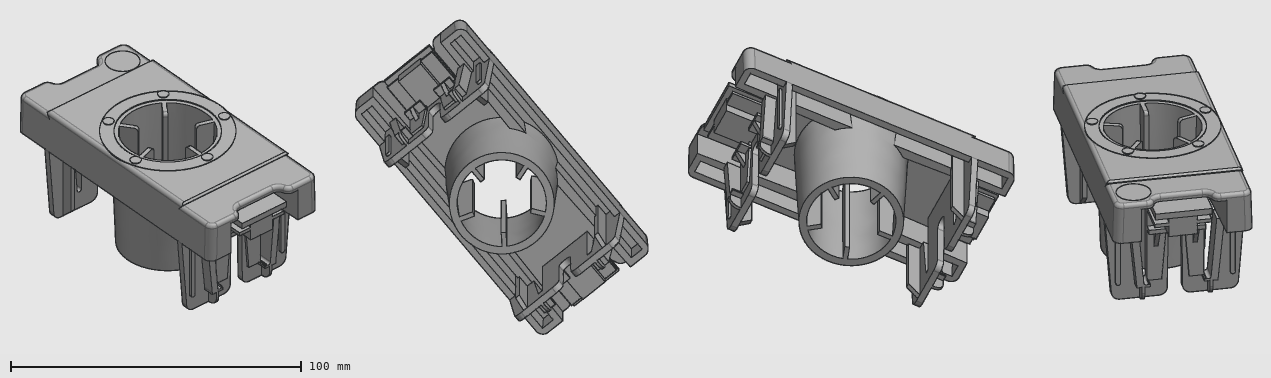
import cadquery as cq


LENGTH = 103.0
WIDTH = 49.0
SIDE_DRAFT = 0.03
END_TOP = 14.9
CORNER_RADIUS = 3.0
END_EDGE_RADIUS = 1.4
WALL = 2.4
CEILING = END_TOP - WALL

PANEL_TOP = 16.3
PANEL_EDGE_RADIUS = 1.5
PANEL_ROOT_Z = END_TOP - END_EDGE_RADIUS
PANEL_ROOT_X = 34.4
PANEL_LIP_X = 36.0
PANEL_LIP_CHAMFER = 0.7

NOTCH_DEPTH = 4.2
NOTCH_FLOOR_HALF = 7.4
NOTCH_MOUTH_HALF = 13.0
CHANNEL_MOUTH_HALF = 15.0
CHANNEL_WAIST_HALF = 13.8

RING_DIAMETER = 47.0
RING_INNER_DIAMETER = 37.0
RING_TOP = 16.5
RIM_Z = 16.1
BADGE_DIAMETER = 12.0
BADGE_X = -43.0
BADGE_Y = 16.0
BADGE_DEPTH = 0.1

LEG_BOTTOM = -30.0
TUBE_OUTER_BASE = 19.2
TUBE_OUTER_TIP = 18.0
TUBE_INNER_RIM = 17.0
TUBE_INNER_TIP = 15.3
SPOKE_COUNT = 5
FIN_THICKNESS = 1.6
FIN_INNER_RADIUS = 10.4
FIN_ROUND = 1.3
PIN_CIRCLE_RADIUS = 21.0
PIN_DIAMETER = 4.0
PIN_ROOT_DIAMETER = 3.2
PIN_TOP = 17.0

PLATE_OUTER_X = -36.6
PLATE_INNER_X = PLATE_OUTER_X + WALL
LEG_TIP_HALF = 22.1
LEG_TIP_RADIUS = 3.0
SLOT_TOP_HALF = 2.5
SLOT_LOW_HALF = 2.7
SLOT_TOP = -5.0
RELIEF = 0.9
RIB_Y = 20.2
RIB_WIDTH = 1.8
FRAME_OUTER_X = -40.7
FRAME_BOTTOM = -24.0
WINDOW_BOTTOM = -23.2
FRAME_OUTER_TOP_Y = 16.6
FRAME_OUTER_LOW_Y = 14.3
WINDOW_TOP_Y = 13.8
WINDOW_LOW_Y = 11.8
FRAME_FOOT_Y = 9.5
TOE_Y = 11.9
TOE_THICKNESS = 1.0
TOE_RADIUS = 3.6
STIFFENER_X = -29.9
STIFFENER_Y = 17.5
STIFFENER_THICKNESS = 1.6

TONGUE_HALF = 10.0
TONGUE_TOP = 10.1
PAD_TOP_Y = 3.0
PAD_LOW_Y = 4.8
SLAB_BOTTOM = 7.8
BOX_OUTER_X = -50.1
BOX_HALF = 4.9
BAR_TOP = 5.4
BAR_BOTTOM = 4.0
SHELF_TOP = -2.0
SHELF_BOTTOM = -3.6
GUSSET_BOTTOM = -10.1
GUSSET_Y = 6.9
GUSSET_WIDTH = 1.5


def block(x_range, y_range, z_range):
    """Box given by its limits along the three axes."""
    spans = [high - low for low, high in (x_range, y_range, z_range)]
    corner = (x_range[0], y_range[0], z_range[0])
    return cq.Workplane("XY").box(*spans, centered=False).translate(corner)


def prism_x(points, x_start, x_end):
    """Polygon of (y, z) points extruded along X."""
    return cq.Workplane("YZ").workplane(offset=x_start).polyline(points).close().extrude(x_end - x_start)


def prism_y(points, y_middle, width):
    """Polygon of (x, z) points extruded along Y about y_middle."""
    flat = cq.Workplane("XZ").workplane(offset=-y_middle)
    return flat.polyline(points).close().extrude(width / 2, both=True)


def both_sides(half):
    """The shape together with its mirror image across the XZ plane."""
    return half.union(half.mirror("XZ"))


def drafted_bar(top, inset=0.0):
    """Lengthwise bar whose long sides lean inward, shrunk all round by inset."""
    base = WIDTH / 2 - inset
    crest = base - SIDE_DRAFT * top
    half_length = LENGTH / 2 - inset
    return prism_x([(-base, 0), (base, 0), (crest, top), (-crest, top)], -half_length, half_length)


def end_notch():
    """Cutter for the -X end: a recess whose sides are S-curves of two equal arcs."""
    mouth_x = -LENGTH / 2
    floor_x = mouth_x + NOTCH_DEPTH
    rise = NOTCH_MOUTH_HALF - NOTCH_FLOOR_HALF
    radius = (NOTCH_DEPTH**2 + rise**2) / (4 * NOTCH_DEPTH)
    middle = ((mouth_x + floor_x) / 2, (NOTCH_MOUTH_HALF + NOTCH_FLOOR_HALF) / 2)
    return (
        cq.Workplane("XY")
        .moveTo(mouth_x, NOTCH_MOUTH_HALF)
        .radiusArc(middle, -radius)
        .radiusArc((floor_x, NOTCH_FLOOR_HALF), radius)
        .lineTo(floor_x, -NOTCH_FLOOR_HALF)
        .radiusArc((middle[0], -middle[1]), radius)
        .radiusArc((mouth_x, -NOTCH_MOUTH_HALF), -radius)
        .close()
        .extrude(END_TOP)
    )


def outer_housing():
    """Solid housing with notched ends and the raised middle panel."""
    notch = end_notch()
    base = drafted_bar(END_TOP).edges("not(|X or |Y)").fillet(CORNER_RADIUS)
    base = base.cut(notch).cut(notch.mirror("YZ"))
    base = base.faces(">Z").edges().fillet(END_EDGE_RADIUS)

    lip_z = PANEL_TOP - PANEL_LIP_CHAMFER
    top_x = PANEL_LIP_X - PANEL_LIP_CHAMFER
    right_side = [(PANEL_ROOT_X, PANEL_ROOT_Z), (PANEL_LIP_X, lip_z), (top_x, PANEL_TOP)]
    left_side = [(-x, z) for x, z in reversed(right_side)]
    panel_limits = prism_y(right_side + left_side, 0, WIDTH)
    panel = drafted_bar(PANEL_TOP).faces(">Z").edges("|X").fillet(PANEL_EDGE_RADIUS)
    return base.union(panel.intersect(panel_limits))


def channel():
    """Lengthwise channel under the top, tapering from both ends toward the tube."""
    outline = [
        (-LENGTH / 2, -CHANNEL_MOUTH_HALF),
        (0, -CHANNEL_WAIST_HALF),
        (LENGTH / 2, -CHANNEL_MOUTH_HALF),
        (LENGTH / 2, CHANNEL_MOUTH_HALF),
        (0, CHANNEL_WAIST_HALF),
        (-LENGTH / 2, CHANNEL_MOUTH_HALF),
    ]
    return cq.Workplane("XY").polyline(outline).close().extrude(CEILING)


def cavity():
    """Hollow below the top: the inside of the walls minus the partitions that carry the legs."""
    channel_wall = (CHANNEL_WAIST_HALF, CHANNEL_MOUTH_HALF + WALL)
    lengthwise = block((-LENGTH / 2, LENGTH / 2), channel_wall, (0, CEILING))
    crosswise = block((PLATE_OUTER_X, PLATE_INNER_X), (CHANNEL_WAIST_HALF, WIDTH / 2), (0, CEILING))
    partitions = both_sides(lengthwise.union(crosswise).union(crosswise.mirror("YZ")))
    hollow = drafted_bar(CEILING, WALL).cut(partitions)
    return hollow.union(channel())


def tube():
    """Outside of the tapered tube, reaching up to the ceiling."""
    outer_slope = (TUBE_OUTER_BASE - TUBE_OUTER_TIP) / -LEG_BOTTOM
    outer_ceiling = TUBE_OUTER_BASE + outer_slope * CEILING
    outline = [(0, LEG_BOTTOM), (TUBE_OUTER_TIP, LEG_BOTTOM), (outer_ceiling, CEILING), (0, CEILING)]
    return cq.Workplane("XZ").polyline(outline).close().revolve(360, (0, 0), (0, 1))


def tube_bore():
    """Tapered bore with the shallow recess that leaves the tube rim below the ring."""
    bore = [(0, LEG_BOTTOM), (TUBE_INNER_TIP, LEG_BOTTOM), (TUBE_INNER_RIM, RIM_Z), (0, RIM_Z)]
    cutter = cq.Workplane("XZ").polyline(bore).close().revolve(360, (0, 0), (0, 1))
    recess = cq.Workplane("XY").workplane(offset=RIM_Z).circle(RING_INNER_DIAMETER / 2)
    return cutter.union(recess.extrude(RING_TOP - RIM_Z))


def fin():
    """Fin on the +X side of the bore, rounded at its upper inner corner."""
    wall_tip = (TUBE_INNER_TIP + TUBE_OUTER_TIP) / 2
    wall_rim = (TUBE_INNER_RIM + RING_INNER_DIAMETER / 2) / 2
    return (
        cq.Workplane("XZ")
        .moveTo(FIN_INNER_RADIUS, LEG_BOTTOM)
        .lineTo(wall_tip, LEG_BOTTOM)
        .lineTo(wall_rim, RIM_Z)
        .lineTo(FIN_INNER_RADIUS + FIN_ROUND, RIM_Z)
        .radiusArc((FIN_INNER_RADIUS, RIM_Z - FIN_ROUND), -FIN_ROUND)
        .close()
        .extrude(FIN_THICKNESS / 2, both=True)
    )


def pin():
    """Pin on the +X side of the ring, widening toward its top."""
    outline = [
        (0, PANEL_TOP),
        (PIN_ROOT_DIAMETER / 2, PANEL_TOP),
        (PIN_DIAMETER / 2, PIN_TOP),
        (0, PIN_TOP),
    ]
    cone = cq.Workplane("XZ").polyline(outline).close().revolve(360, (0, 0), (0, 1))
    return cone.translate((PIN_CIRCLE_RADIUS, 0, 0))


def leg_window():
    """Opening between tongue and leg: slanted outside, upright beside the tongue, round below."""
    round_radius = (WINDOW_LOW_Y - TONGUE_HALF) / 2
    round_z = WINDOW_BOTTOM + round_radius
    return (
        cq.Workplane("YZ")
        .workplane(offset=FRAME_OUTER_X)
        .moveTo(TONGUE_HALF, 0)
        .lineTo(WINDOW_TOP_Y, 0)
        .lineTo(WINDOW_LOW_Y, round_z)
        .threePointArc((TONGUE_HALF + round_radius, WINDOW_BOTTOM), (TONGUE_HALF, round_z))
        .close()
        .extrude(PLATE_INNER_X - FRAME_OUTER_X)
    )


def centre_slot():
    """Round-topped slot between the two halves of a leg plate, flared at the tip."""
    arch_z = SLOT_TOP - SLOT_TOP_HALF
    flare_half = SLOT_LOW_HALF + LEG_TIP_RADIUS
    flare_z = LEG_BOTTOM + LEG_TIP_RADIUS
    return (
        cq.Workplane("YZ")
        .workplane(offset=PLATE_OUTER_X)
        .moveTo(-flare_half, LEG_BOTTOM)
        .radiusArc((-SLOT_LOW_HALF, flare_z), -LEG_TIP_RADIUS)
        .lineTo(-SLOT_TOP_HALF, arch_z)
        .threePointArc((0, SLOT_TOP), (SLOT_TOP_HALF, arch_z))
        .lineTo(SLOT_LOW_HALF, flare_z)
        .radiusArc((flare_half, LEG_BOTTOM), -LEG_TIP_RADIUS)
        .close()
        .extrude(WALL)
    )


def leg_plate():
    """Slanted plate with rounded lower corners."""
    base = WIDTH / 2
    profile = [(-base, 0), (base, 0), (LEG_TIP_HALF, LEG_BOTTOM), (-LEG_TIP_HALF, LEG_BOTTOM)]
    plate = prism_x(profile, PLATE_OUTER_X, PLATE_INNER_X)
    return plate.faces("<Z").edges("|X").fillet(LEG_TIP_RADIUS).cut(centre_slot())


def leg_frame():
    """Block beside the window on the +Y half, standing on a foot that spans below the window."""
    outline = [
        (TONGUE_HALF, 0),
        (TONGUE_HALF, WINDOW_BOTTOM),
        (FRAME_FOOT_Y, WINDOW_BOTTOM),
        (FRAME_FOOT_Y, FRAME_BOTTOM),
        (FRAME_OUTER_LOW_Y, FRAME_BOTTOM),
        (FRAME_OUTER_LOW_Y, WINDOW_BOTTOM),
        (FRAME_OUTER_TOP_Y, 0),
    ]
    return prism_x(outline, FRAME_OUTER_X, PLATE_OUTER_X).cut(leg_window())


def leg_toe():
    """Thin rib under the frame on the +Y half, rounded at its outer lower corner."""
    toe = block(
        (FRAME_OUTER_X, PLATE_OUTER_X),
        (TOE_Y - TOE_THICKNESS / 2, TOE_Y + TOE_THICKNESS / 2),
        (LEG_BOTTOM, FRAME_BOTTOM),
    )
    return toe.edges("<X and <Z").fillet(TOE_RADIUS)


def leg_rib():
    """Low upright rib with a round lower end on the +Y half of the outer face."""
    end_radius = RIB_WIDTH / 2
    low_z = FRAME_BOTTOM + end_radius
    return (
        cq.Workplane("YZ")
        .workplane(offset=PLATE_OUTER_X - RELIEF)
        .moveTo(RIB_Y - end_radius, 0)
        .lineTo(RIB_Y - end_radius, low_z)
        .threePointArc((RIB_Y, FRAME_BOTTOM), (RIB_Y + end_radius, low_z))
        .lineTo(RIB_Y + end_radius, 0)
        .close()
        .extrude(RELIEF)
    )


def leg_stiffener():
    """Upright web on the inner face of the +Y half, bevelled at its tip."""
    reach = STIFFENER_X - PLATE_INNER_X
    profile = [
        (PLATE_INNER_X, CEILING),
        (PLATE_INNER_X, LEG_BOTTOM),
        (STIFFENER_X, LEG_BOTTOM + reach),
        (STIFFENER_X, CEILING),
    ]
    return prism_y(profile, STIFFENER_Y, STIFFENER_THICKNESS)


def tongue_pad():
    """Raised tapering pad on the +Y half of the tongue."""
    profile = [
        (PAD_TOP_Y, 0),
        (PAD_LOW_Y, WINDOW_BOTTOM),
        (TONGUE_HALF, WINDOW_BOTTOM),
        (TONGUE_HALF, TONGUE_TOP),
        (PAD_TOP_Y, TONGUE_TOP),
    ]
    return prism_x(profile, PLATE_OUTER_X - RELIEF, PLATE_OUTER_X)


def tongue_gusset():
    """Slanted brace under the shelf on the +Y half of the tongue."""
    profile = [
        (PLATE_OUTER_X, SHELF_BOTTOM),
        (FRAME_OUTER_X, SHELF_BOTTOM),
        (PLATE_OUTER_X - RELIEF, GUSSET_BOTTOM),
        (PLATE_OUTER_X, GUSSET_BOTTOM),
    ]
    return prism_y(profile, GUSSET_Y, GUSSET_WIDTH)


def tongue_shelf():
    """Shelf on the +Y half of the tongue; it starts at the pad's upper inner edge."""
    return block((FRAME_OUTER_X, PLATE_OUTER_X), (PAD_TOP_Y, TONGUE_HALF), (SHELF_BOTTOM, SHELF_TOP))


def tongue_head():
    """Upper part of the tongue: top slab, middle box and cross bar."""
    full_width = (-TONGUE_HALF, TONGUE_HALF)
    wall = block((PLATE_OUTER_X, PLATE_INNER_X), full_width, (0, TONGUE_TOP))
    slab = block((-LENGTH / 2, PLATE_OUTER_X), full_width, (SLAB_BOTTOM, TONGUE_TOP))
    box = block((BOX_OUTER_X, PLATE_OUTER_X), (-BOX_HALF, BOX_HALF), (0, SLAB_BOTTOM))
    bar = block((BOX_OUTER_X, PLATE_OUTER_X), full_width, (BAR_BOTTOM, BAR_TOP))
    return wall.union(slab).union(box).union(bar)


def leg():
    """Complete leg assembly of the -X end."""
    assembly = leg_plate().cut(both_sides(leg_window())).union(tongue_head())
    paired_details = (
        leg_frame,
        leg_toe,
        leg_rib,
        leg_stiffener,
        tongue_pad,
        tongue_shelf,
        tongue_gusset,
    )
    for make in paired_details:
        assembly = assembly.union(both_sides(make()))
    return assembly


ring = cq.Workplane("XY").workplane(offset=CEILING).circle(RING_DIAMETER / 2).extrude(RING_TOP - CEILING)
body = outer_housing().cut(cavity()).union(ring)
badge = cq.Workplane("XY").workplane(offset=END_TOP - BADGE_DEPTH).center(BADGE_X, BADGE_Y)
body = body.cut(badge.circle(BADGE_DIAMETER / 2).extrude(BADGE_DEPTH))

body = body.union(tube()).cut(tube_bore())
for spoke in range(SPOKE_COUNT):
    angle = spoke * 360 / SPOKE_COUNT
    for detail in (fin(), pin()):
        body = body.union(detail.rotate((0, 0, 0), (0, 0, 1), angle))

end_leg = leg()
result = body.union(end_leg).union(end_leg.mirror("YZ"))